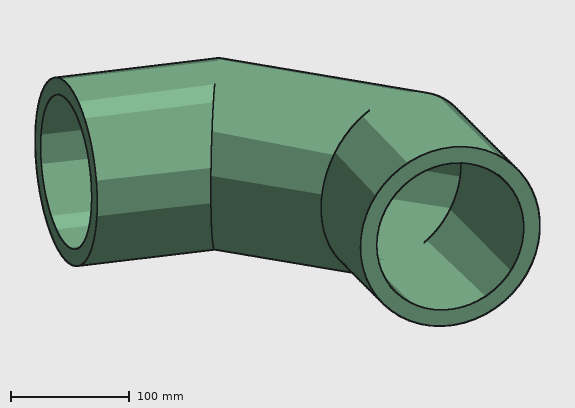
import cadquery as cq

overall_size = 334.0
outer_diameter = 160.0
bore_diameter = 131.0
leg_length = 134.3

axis_extent = overall_size - outer_diameter / 2
axis_points = [
    (0, 0),
    (0, leg_length),
    (axis_extent - leg_length, axis_extent),
    (axis_extent, axis_extent),
]


def mitred_rod(diameter):
    """Solid round bar following the pipe axis with sharp mitred corners."""
    axis = cq.Workplane("XY").polyline(axis_points)
    return cq.Workplane("XZ").circle(diameter / 2).sweep(axis, transition="right")


result = mitred_rod(outer_diameter).cut(mitred_rod(bore_diameter))